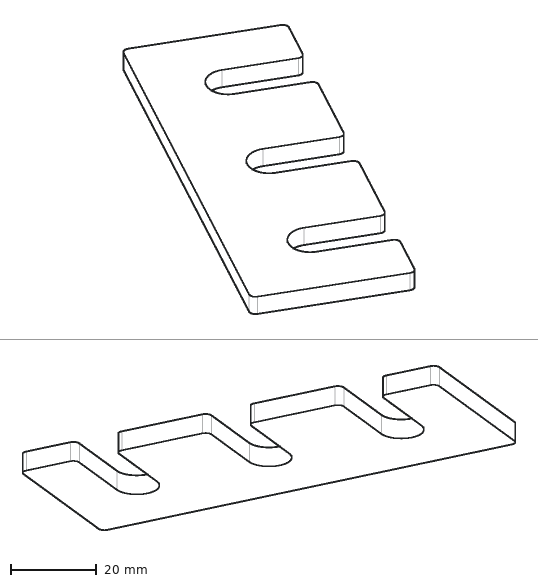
import cadquery as cq

length = 110
depth = 40.0
thickness = 4.8
corner_radius = 1.5

slot_count = 3
slot_pitch = 35.0
slot_width = 10.6
slot_depth = 25.3


def make_slot_cutter():
    """Round-ended slots, running out through the +Y edge."""
    slot_radius = slot_width / 2
    overrun = slot_width
    slot_length = slot_depth + slot_radius + overrun
    slot_center_y = depth / 2 - slot_depth + slot_length / 2
    first_slot_x = -slot_pitch * (slot_count - 1) / 2
    centers = [(first_slot_x + i * slot_pitch, slot_center_y) for i in range(slot_count)]
    return (
        cq.Workplane("XY")
        .pushPoints(centers)
        .slot2D(slot_length, slot_width, 90)
        .extrude(thickness)
    )


plate = cq.Workplane("XY").rect(length, depth).extrude(thickness)
slotted_plate = plate.cut(make_slot_cutter())

rear_corners = slotted_plate.faces(">Y").edges("|Z")
front_corners = slotted_plate.faces("<Y").edges("|Z")
result = slotted_plate.newObject(rear_corners.vals() + front_corners.vals()).fillet(corner_radius)